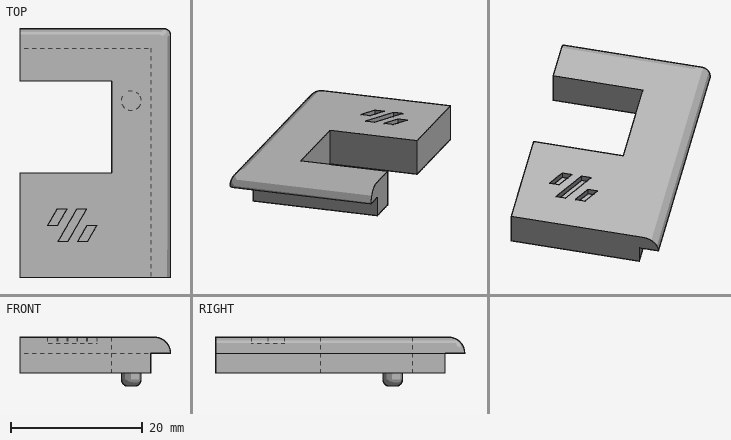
import cadquery as cq
import math

plate_length_x = 23.0
plate_length_y = 38.0
plate_height = 5.5

lip_overhang = 3.0
lip_height = 2.5
lip_radius = lip_height
lip_corner_radius = 1.0
lip_bottom = plate_height - lip_height

notch_size = 14.0
notch_start_y = 16.0

pin_x = 17.0
pin_y = 27.0
pin_radius = 1.5
pin_length = 2.0
pin_tip_radius = 1.0

pocket_center_x = 8.0
pocket_center_y = 8.0
pocket_width = 1.5
pocket_pitch = 2 * pocket_width
pocket_full_length = 5.0
pocket_half_length = pocket_full_length / 2
pocket_slant = math.tan(math.radians(30))
pocket_depth = 1.0


def make_rounded_strip(plane, length, depth):
    """Slab of the given length whose far end is a quarter round, extruded by depth."""
    round_start = length - lip_radius
    arc_offset = lip_radius * math.cos(math.radians(45))
    return (
        cq.Workplane(plane)
        .moveTo(0, lip_bottom)
        .lineTo(length, lip_bottom)
        .threePointArc(
            (round_start + arc_offset, lip_bottom + arc_offset),
            (round_start, plate_height),
        )
        .lineTo(0, plate_height)
        .close()
        .extrude(depth)
    )


def make_lip_slab():
    """Upper slab: quarter-round +X and +Y sides, with the curved edge where they meet blended."""
    x_strip = make_rounded_strip("XZ", plate_length_x, -plate_length_y)
    y_strip = make_rounded_strip("YZ", plate_length_y, plate_length_x)
    slab = x_strip.intersect(y_strip)
    corner = (plate_length_x, plate_length_y, lip_bottom + lip_height / 2)
    return slab.edges(cq.NearestToPointSelector(corner)).fillet(lip_corner_radius)


def make_base():
    """Lower block, set back under the lip on the +X and +Y sides."""
    return (
        cq.Workplane("XY")
        .rect(plate_length_x - lip_overhang, plate_length_y - lip_overhang, centered=False)
        .extrude(lip_bottom)
    )


def make_notch():
    """Square opening through the full height."""
    return (
        cq.Workplane("XY", origin=(0, notch_start_y, 0))
        .rect(notch_size, notch_size, centered=False)
        .extrude(plate_height)
    )


def make_pin():
    """Round pin with a rounded tip, pointing down from the underside."""
    return (
        cq.Workplane("XY")
        .center(pin_x, pin_y)
        .circle(pin_radius)
        .extrude(-pin_length)
        .faces("<Z")
        .edges()
        .fillet(pin_tip_radius)
    )


def make_pocket(offset_x, start_y, end_y):
    """Slanted pocket; offset_x shifts it from the pocket center, start_y and end_y are its Y reach."""
    start_x = offset_x - pocket_width / 2 + start_y * pocket_slant
    end_x = offset_x - pocket_width / 2 + end_y * pocket_slant
    return (
        cq.Workplane("XY", origin=(pocket_center_x, pocket_center_y, plate_height))
        .polyline([
            (start_x, start_y),
            (start_x + pocket_width, start_y),
            (end_x + pocket_width, end_y),
            (end_x, end_y),
        ])
        .close()
        .extrude(-pocket_depth)
    )


pockets = [
    (-pocket_pitch, 0, pocket_half_length),
    (0, -pocket_half_length, pocket_half_length),
    (pocket_pitch, -pocket_half_length, 0),
]

result = make_lip_slab().union(make_base()).cut(make_notch()).union(make_pin())
for pocket_offset_x, pocket_start_y, pocket_end_y in pockets:
    result = result.cut(make_pocket(pocket_offset_x, pocket_start_y, pocket_end_y))